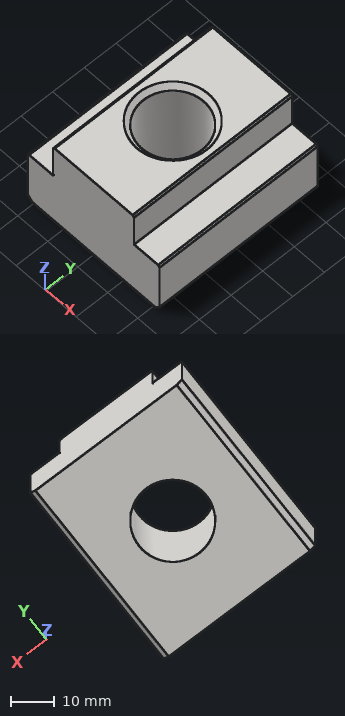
import cadquery as cq

base_width = 44.0
length = 50.0
total_height = 28.5

neck_width = 27.0
neck_height = 11.0
base_height = total_height - neck_height

edge_chamfer = 0.5
bottom_chamfer = 1.5

hole_diameter = 19.5
mouth_diameter = 22.5
mouth_depth = (mouth_diameter - hole_diameter) / 2


def tee_body():
    """T-shaped profile in the XZ plane, extruded along Y and centred on it."""
    half_base = base_width / 2
    half_neck = neck_width / 2
    right_side = [
        (half_base - bottom_chamfer, 0),
        (half_base, bottom_chamfer),
        (half_base, base_height - edge_chamfer),
        (half_base - edge_chamfer, base_height),
        (half_neck, base_height),
        (half_neck, total_height - edge_chamfer),
        (half_neck - edge_chamfer, total_height),
    ]
    left_side = [(-x, z) for x, z in reversed(right_side)]
    profile = cq.Workplane("XZ").polyline(right_side + left_side).close()
    return profile.extrude(length / 2, both=True)


def countersunk_hole():
    """Cutting tool for the through hole and its conical mouth at the top."""
    hole_radius = hole_diameter / 2
    mouth_radius = mouth_diameter / 2
    half_section = [
        (0, 0),
        (hole_radius, 0),
        (hole_radius, total_height - mouth_depth),
        (mouth_radius, total_height),
        (0, total_height),
    ]
    return cq.Workplane("XZ").polyline(half_section).close().revolve(360, (0, 0, 0), (0, 1, 0))


result = tee_body().cut(countersunk_hole())